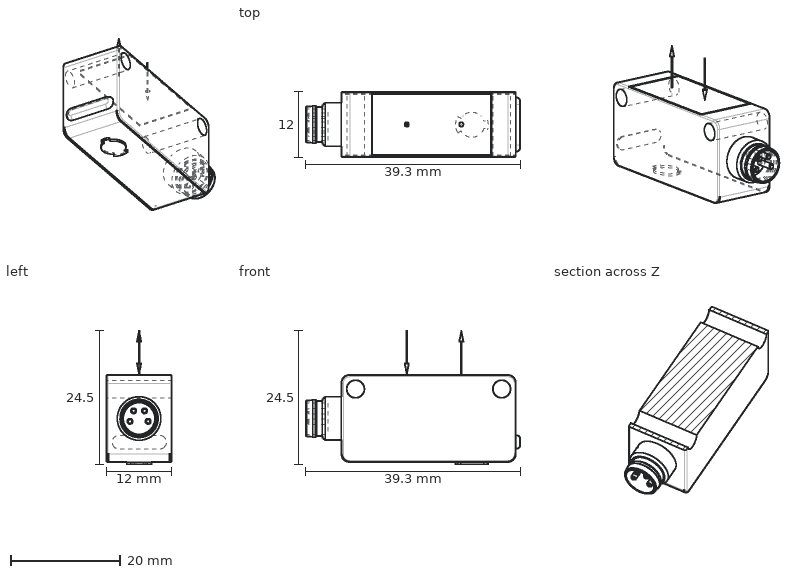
import cadquery as cq
import math

LENGTH = 32.0
WIDTH = 12.0
HEIGHT = 16.0
CORNER_RADIUS = 1.5
RIM_RADIUS = 0.3

MOUNT_HOLE_DIAMETER = 3.2
MOUNT_HOLE_INSET = 2.6

GROOVE_WIDTH = 0.15
GROOVE_DEPTH = 0.1
WINDOW_LENGTH = 22.0
WINDOW_WIDTH = WIDTH - 2 * RIM_RADIUS
WINDOW_CENTER_X = 16.55
COVER_WIDTH = WINDOW_WIDTH

PLUG_AXIS_Z = HEIGHT / 2
PLUG_LENGTH = 6.5
COLLAR_RADIUS = 8.0 / 2
COLLAR_LENGTH = 3.0
COLLAR_CHAMFER = 0.5
NECK_RADIUS = 6.5 / 2
NECK_END = 4.5
RIDGE_RADIUS = 6.9 / 2
RIDGE_START = 4.75
RIDGE_END = 5.25
SLEEVE_RADIUS = 3.4
NOSE_RADIUS = 3.3
NOSE_CHAMFER = 0.15
SOCKET_RADIUS = 5.8 / 2
SOCKET_DEPTH = 4.0

PIN_RADIUS = 1.0 / 2
PIN_CHAMFER = 0.15
PIN_RECESS = 0.35
PIN_PLACES = [
    (-1.0, 1.4),
    (1.0, 1.4),
    (-1.66, -0.53),
    (1.66, -0.53),
]

LENS_LENGTH = 9.95
LENS_HEIGHT = 2.5
LENS_DEPTH = 0.8
LENS_FILLET = 0.7
LENS_CENTER_Z = 3.7

KNOB_CENTER_X = 23.9
KNOB_RADIUS = 2.3
KNOB_TAB_RADIUS = 3.0
KNOB_HEIGHT = 0.4
WIDE_TAB_HALF_ANGLE = 30.0
NARROW_TAB_HALF_ANGLE = 16.5

ARROW_LENGTH = 8.0
ARROW_HEAD_LENGTH = 2.0
ARROW_HEAD_RADIUS = 0.4
ARROW_SHAFT_RADIUS = 0.2 / 2
ARROW_GAP = 0.1
INCOMING_ARROW_X = 12.0
OUTGOING_ARROW_X = 22.0


def make_case():
    """Rounded block with softened rims and two mounting holes."""
    case = cq.Workplane("XY").box(LENGTH, WIDTH, HEIGHT, centered=(False, True, False))
    case = case.edges("|Y").fillet(CORNER_RADIUS)
    case = case.faces("<Y or >Y").edges().fillet(RIM_RADIUS)
    hole_z = HEIGHT - MOUNT_HOLE_INSET
    holes = (
        cq.Workplane("XZ", origin=(0, WIDTH / 2, 0))
        .pushPoints([(MOUNT_HOLE_INSET, hole_z), (LENGTH - MOUNT_HOLE_INSET, hole_z)])
        .circle(MOUNT_HOLE_DIAMETER / 2)
        .extrude(WIDTH)
    )
    return case.cut(holes)


def window_groove():
    """Rectangular ring that outlines the window in the top face."""
    return (
        cq.Workplane("XY", origin=(WINDOW_CENTER_X, 0, HEIGHT - GROOVE_DEPTH))
        .rect(WINDOW_LENGTH, WINDOW_WIDTH)
        .rect(WINDOW_LENGTH - 2 * GROOVE_WIDTH, WINDOW_WIDTH - 2 * GROOVE_WIDTH)
        .extrude(GROOVE_DEPTH)
    )


def cover_grooves():
    """Two grooves along the bottom that follow its rounded ends."""
    inner_radius = CORNER_RADIUS - GROOVE_DEPTH
    bend = CORNER_RADIUS - inner_radius * math.sqrt(0.5)
    band = (
        cq.Workplane("XZ", origin=(0, GROOVE_WIDTH / 2, 0))
        .moveTo(0, 0)
        .lineTo(LENGTH, 0)
        .lineTo(LENGTH, CORNER_RADIUS)
        .lineTo(LENGTH - GROOVE_DEPTH, CORNER_RADIUS)
        .threePointArc((LENGTH - bend, bend), (LENGTH - CORNER_RADIUS, GROOVE_DEPTH))
        .lineTo(CORNER_RADIUS, GROOVE_DEPTH)
        .threePointArc((bend, bend), (GROOVE_DEPTH, CORNER_RADIUS))
        .lineTo(0, CORNER_RADIUS)
        .close()
        .extrude(GROOVE_WIDTH)
    )
    offset = (COVER_WIDTH - GROOVE_WIDTH) / 2
    return band.translate((0, offset, 0)).union(band.translate((0, -offset, 0)))


def make_plug():
    """Turned plug body with a blind socket."""
    profile = [
        (0, 0),
        (0, COLLAR_RADIUS),
        (COLLAR_LENGTH, COLLAR_RADIUS),
        (COLLAR_LENGTH + COLLAR_CHAMFER, COLLAR_RADIUS - COLLAR_CHAMFER),
        (COLLAR_LENGTH + COLLAR_CHAMFER, NECK_RADIUS),
        (NECK_END, NECK_RADIUS),
        (RIDGE_START, RIDGE_RADIUS),
        (RIDGE_END, RIDGE_RADIUS),
        (RIDGE_END, SLEEVE_RADIUS),
        (PLUG_LENGTH - NOSE_CHAMFER, NOSE_RADIUS),
        (PLUG_LENGTH, NOSE_RADIUS - NOSE_CHAMFER),
        (PLUG_LENGTH, SOCKET_RADIUS),
        (PLUG_LENGTH - SOCKET_DEPTH, SOCKET_RADIUS),
        (PLUG_LENGTH - SOCKET_DEPTH, 0),
    ]
    points = [(-distance, PLUG_AXIS_Z + radius) for distance, radius in profile]
    return (
        cq.Workplane("XZ")
        .polyline(points)
        .close()
        .revolve(360, (0, PLUG_AXIS_Z), (1, PLUG_AXIS_Z))
    )


def contact_pins():
    """Contact pins standing on the socket floor, chamfered at their tips."""
    floor_x = SOCKET_DEPTH - PLUG_LENGTH
    return (
        cq.Workplane("YZ", origin=(floor_x, 0, PLUG_AXIS_Z))
        .pushPoints(PIN_PLACES)
        .circle(PIN_RADIUS)
        .extrude(PIN_RECESS - SOCKET_DEPTH)
        .faces("<X")
        .chamfer(PIN_CHAMFER)
    )


def indicator_lens():
    """Long rounded lens bulging from the +X end."""
    return (
        cq.Workplane("YZ", origin=(LENGTH, 0, LENS_CENTER_Z))
        .slot2D(LENS_LENGTH, LENS_HEIGHT)
        .extrude(LENS_DEPTH)
        .faces(">X")
        .edges()
        .fillet(LENS_FILLET)
    )


def knob_tab(middle_angle, half_angle):
    """Sector of the knob's outer circle, centered on the given direction."""
    def rim_point(angle):
        turn = math.radians(angle)
        return (KNOB_TAB_RADIUS * math.cos(turn), KNOB_TAB_RADIUS * math.sin(turn))

    return (
        cq.Workplane("XY")
        .lineTo(*rim_point(middle_angle - half_angle))
        .threePointArc(rim_point(middle_angle), rim_point(middle_angle + half_angle))
        .close()
        .extrude(-KNOB_HEIGHT)
    )


def adjuster_knob():
    """Flat disc with a wide tab toward -X and a narrow one toward +X."""
    knob = cq.Workplane("XY").circle(KNOB_RADIUS).extrude(-KNOB_HEIGHT)
    knob = knob.union(knob_tab(180, WIDE_TAB_HALF_ANGLE))
    knob = knob.union(knob_tab(0, NARROW_TAB_HALF_ANGLE))
    return knob.translate((KNOB_CENTER_X, 0, 0))


def make_housing():
    """Case with its grooves, plug, pins, lens and knob as one solid."""
    housing = make_case().cut(window_groove()).cut(cover_grooves())
    for feature in (make_plug(), contact_pins(), indicator_lens(), adjuster_knob()):
        housing = housing.union(feature)
    return housing


def make_arrow(x, points_up):
    """Beam arrow with a thin shaft and a conical head, standing clear of the window."""
    shaft_length = ARROW_LENGTH - ARROW_HEAD_LENGTH
    arrow = (
        cq.Workplane("XZ")
        .lineTo(ARROW_SHAFT_RADIUS, 0)
        .lineTo(ARROW_SHAFT_RADIUS, shaft_length)
        .lineTo(ARROW_HEAD_RADIUS, shaft_length)
        .lineTo(0, ARROW_LENGTH)
        .close()
        .revolve(360, (0, 0), (0, 1))
    )
    if not points_up:
        arrow = arrow.rotate((0, 0, ARROW_LENGTH / 2), (1, 0, ARROW_LENGTH / 2), 180)
    return arrow.translate((x, 0, HEIGHT + ARROW_GAP))


housing = make_housing()
arrow_places = [(INCOMING_ARROW_X, False), (OUTGOING_ARROW_X, True)]
arrows = [make_arrow(x, points_up) for x, points_up in arrow_places]

result = cq.Compound.makeCompound([housing.val(), *[arrow.val() for arrow in arrows]])